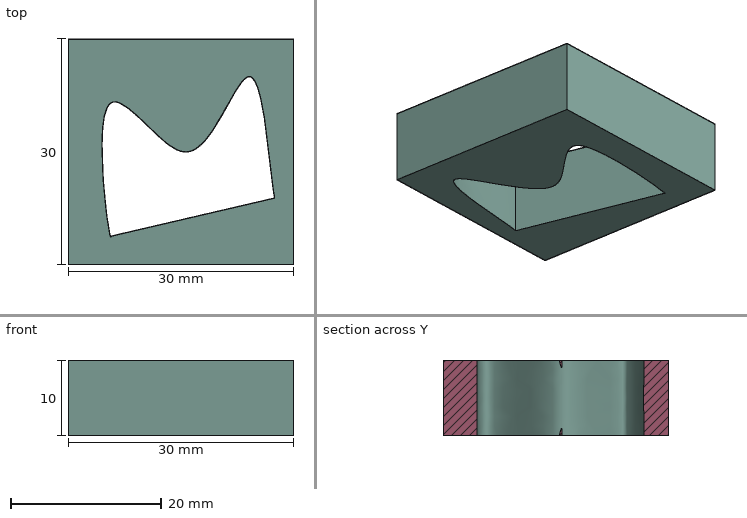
import cadquery as cq

side = 30.0
height = side / 3

left_corner = (-9.3, -11.2)
right_corner = (12.45, -6.12)

right_flank = (11.5, 1.5)
right_peak = (9.0, 10.02)
right_slope = (5.15, 4.35)
valley = (0.85, 0.0)
left_slope = (-4.5, 3.55)
left_peak = (-9.1, 6.63)
left_flank = (-10.5, 1.2)
wavy_edge = [
    right_flank,
    right_peak,
    right_slope,
    valley,
    left_slope,
    left_peak,
    left_flank,
    left_corner,
]

block = cq.Workplane("XY").box(side, side, height, centered=(True, True, False))

window = (
    cq.Workplane("XY")
    .moveTo(*right_corner)
    .spline(wavy_edge, includeCurrent=True)
    .close()
    .extrude(height)
)

result = block.cut(window)